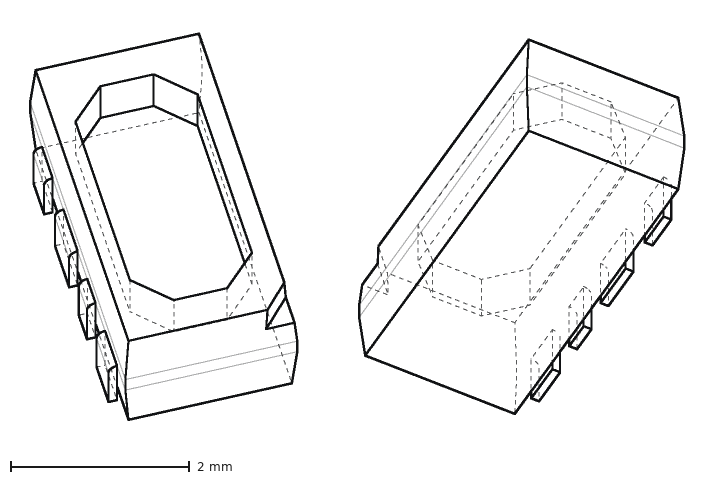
import cadquery as cq

length = 4.0
width = 2.0
height = 1.5
band_height = 0.2
end_length = 3.9
end_width = width - (length - end_length)
band_bottom = (height - band_height) / 2
band_top = band_bottom + band_height

cavity_length = 3.08
cavity_width = 1.42
cavity_corner = 0.4
cavity_depth = 0.6

notch_leg_x = 0.315
notch_leg_y = 0.285
notch_depth = (height - band_top) / 2

leads_layout = [(-1.5, 0.45), (-0.6, 0.6), (0.4, 0.35), (1.15, 0.505)]
lead_thickness = 0.1
lead_round = 0.095
lead_height = band_bottom


def make_tapered_block(start_z, start_size, end_z, end_size):
    """Straight-sided block between two centred rectangles."""
    return (
        cq.Workplane("XY", origin=(0, 0, start_z))
        .rect(*start_size)
        .workplane(offset=end_z - start_z)
        .rect(*end_size)
        .loft(ruled=True)
    )


def make_cavity():
    return (
        cq.Workplane("XY", origin=(0, 0, height - cavity_depth))
        .rect(cavity_length, cavity_width)
        .extrude(cavity_depth)
        .edges("|Z")
        .chamfer(cavity_corner)
    )


def make_corner_notch():
    """Upright triangular prism at +X +Y, enlarged to clear the tapered sides."""
    leg_ratio = notch_leg_y / notch_leg_x
    overhang = (length - end_length) / 2
    corner_x = length / 2
    corner_y = width / 2
    leg_x = notch_leg_x + overhang + overhang / leg_ratio
    leg_y = leg_x * leg_ratio
    return (
        cq.Workplane("XY", origin=(0, 0, height - notch_depth))
        .moveTo(corner_x, corner_y)
        .lineTo(corner_x - leg_x, corner_y)
        .lineTo(corner_x, corner_y - leg_y)
        .close()
        .extrude(notch_depth)
    )


def make_housing():
    band_size = (length, width)
    end_size = (end_length, end_width)
    lower = make_tapered_block(0, end_size, band_bottom, band_size)
    band = make_tapered_block(band_bottom, band_size, band_top, band_size)
    upper = make_tapered_block(band_top, band_size, height, end_size)
    block = lower.union(band).union(upper)
    return block.cut(make_cavity()).cut(make_corner_notch())


def make_lead(left_edge, lead_width):
    """Upright strip outside the housing with a rounded outer top edge."""
    return (
        cq.Workplane("XY")
        .box(lead_width, lead_thickness, lead_height, centered=False)
        .edges("|X and >Z and <Y")
        .fillet(lead_round)
        .translate((left_edge, -width / 2 - lead_thickness, 0))
    )


housing = make_housing()
leads = [make_lead(left_edge, lead_width) for left_edge, lead_width in leads_layout]

parts = [housing, *leads]
result = cq.Compound.makeCompound([part.solids().val() for part in parts])